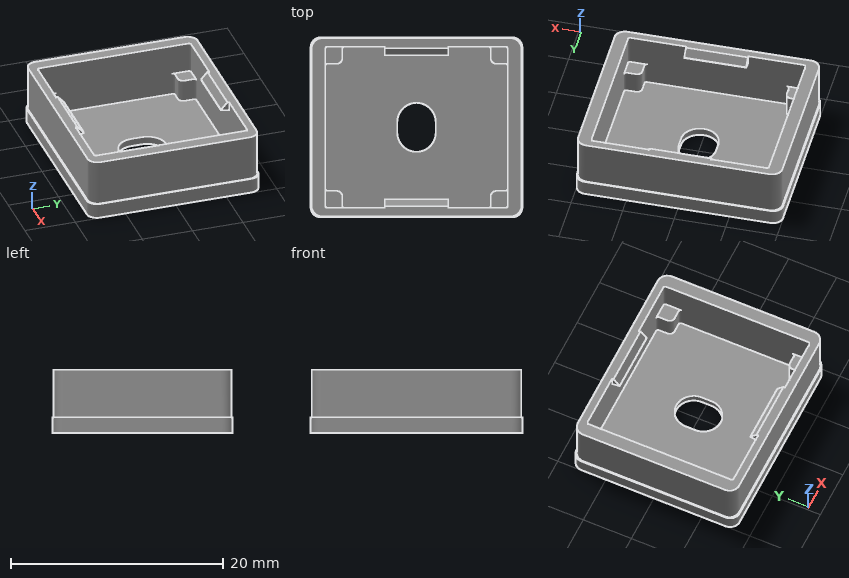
import cadquery as cq

length = 20.0
width = 17.0
height = 6.0
corner_radius = 1.0
base_height = 1.5
step = 0.1

cavity_length = 17.2
cavity_width = 15.2
cavity_corner_radius = 0.2
floor_thickness = 0.8

post_size = 1.6
post_top = 3.0
post_radius = 0.5

ridge_length = 6.0
ridge_reach = 0.8
ridge_top_land = 0.15
ridge_tip_top = 0.7
ridge_tip_bottom = 0.75
ridge_wall_bottom = 0.9

opening_length = 3.6
opening_width = 4.6


def rounded_block(size_x, size_y, bottom, top, radius):
    """Centred block with rounded vertical edges."""
    block = cq.Workplane("XY").workplane(offset=bottom).rect(size_x, size_y).extrude(top - bottom)
    return block.edges("|Z").fillet(radius)


def lower_cavity():
    """Cross-shaped pocket that leaves a rounded post standing in each corner."""
    inner_length = cavity_length - 2 * post_size
    inner_width = cavity_width - 2 * post_size
    lengthwise = rounded_block(cavity_length, inner_width, floor_thickness, post_top, cavity_corner_radius)
    crosswise = rounded_block(inner_length, cavity_width, floor_thickness, post_top, cavity_corner_radius)
    reach_x = (cavity_length - post_size) / 2
    reach_y = (cavity_width - post_size) / 2
    post_corners = cq.selectors.BoxSelector((-reach_x, -reach_y, 0), (reach_x, reach_y, height))
    return lengthwise.union(crosswise).edges("|Z").edges(post_corners).fillet(post_radius)


def snap_ridge():
    """Wedge on the +Y wall, sloping down from the rim to its tip."""
    wall = cavity_width / 2
    root = (wall + width / 2 - step) / 2
    tip = wall - ridge_reach
    profile = [
        (root, height),
        (wall - ridge_top_land, height),
        (tip, height - ridge_tip_top),
        (tip, height - ridge_tip_bottom),
        (wall, height - ridge_wall_bottom),
        (root, height - ridge_wall_bottom),
    ]
    return cq.Workplane("YZ").polyline(profile).close().extrude(ridge_length / 2, both=True)


base = rounded_block(length, width, 0, base_height, corner_radius)
upper = rounded_block(length - 2 * step, width - 2 * step, 0, height, corner_radius)
upper_cavity = rounded_block(cavity_length, cavity_width, post_top, height, cavity_corner_radius)
opening = cq.Workplane("XY").slot2D(opening_width, opening_length, 90).extrude(floor_thickness)
ridge = snap_ridge()

result = base.union(upper).cut(upper_cavity).cut(lower_cavity()).cut(opening)
result = result.union(ridge).union(ridge.mirror("XZ"))